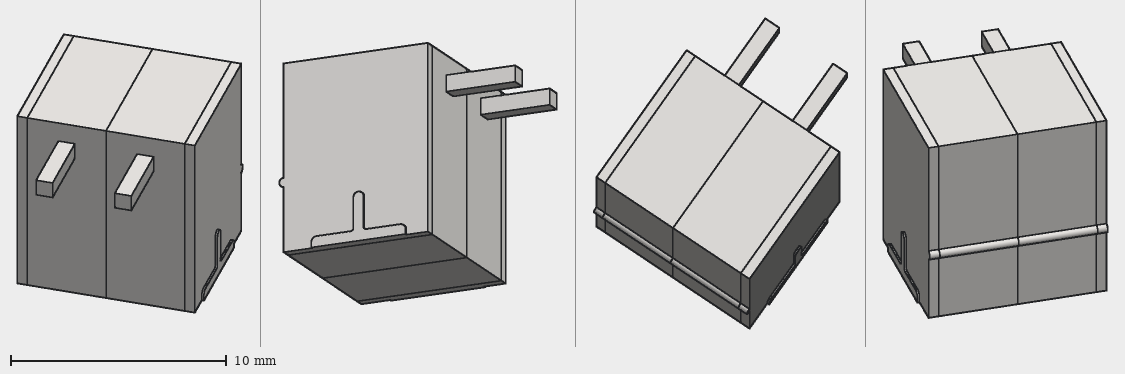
import cadquery as cq

POLE_COUNT = 2
POLE_PITCH = 3.81
BODY_DEPTH = 7.37
BODY_HEIGHT = 9.2
END_PLATE_THICKNESS = 0.49

BEAD_RADIUS = 0.22
BEAD_HEIGHT = 3.4

PIN_WIDTH = 0.8
PIN_LENGTH = 3.53
PIN_DROP = 1.39

RAIL_THICKNESS = 0.1
RAIL_CENTRE_Y = -3.87
FOOT_WIDTH = 4.8
FOOT_HEIGHT = 0.52
FOOT_CORNER_RADIUS = 0.27
STEM_WIDTH = 0.51
STEM_HEIGHT = 2.4
STEM_ROOT_RADIUS = 0.13

PIN_FACE_Y = -BODY_DEPTH
ROW_HALF_WIDTH = POLE_COUNT * POLE_PITCH / 2


def make_slab(left_x, width):
    """Slice of the block with its length of bead; the +Y face lies at Y = 0."""
    profile = (
        cq.Workplane("YZ")
        .workplane(offset=left_x)
        .moveTo(PIN_FACE_Y, 0)
        .lineTo(0, 0)
        .lineTo(0, BEAD_HEIGHT - BEAD_RADIUS)
        .threePointArc((BEAD_RADIUS, BEAD_HEIGHT), (0, BEAD_HEIGHT + BEAD_RADIUS))
        .lineTo(0, BODY_HEIGHT)
        .lineTo(PIN_FACE_Y, BODY_HEIGHT)
        .close()
    )
    return profile.extrude(width)


def make_pole(left_x):
    """Pole module with its solder pin standing out of the -Y face."""
    pin = cq.Workplane("XY").box(PIN_WIDTH, PIN_LENGTH, PIN_WIDTH).translate(
        (left_x + POLE_PITCH / 2, PIN_FACE_Y - PIN_LENGTH / 2, BODY_HEIGHT - PIN_DROP)
    )
    return make_slab(left_x, POLE_PITCH).union(pin)


def make_rail(inner_x):
    """T-shaped rail that grows in +X from the plane X = inner_x."""
    foot = (
        cq.Workplane("XY")
        .box(RAIL_THICKNESS, FOOT_WIDTH, FOOT_HEIGHT, centered=(False, True, False))
        .edges("|X and >Z")
        .fillet(FOOT_CORNER_RADIUS)
    )
    straight_height = STEM_HEIGHT - STEM_WIDTH / 2
    stem = cq.Workplane("XY").box(
        RAIL_THICKNESS, STEM_WIDTH, straight_height, centered=(False, True, False)
    )
    stem_end = (
        cq.Workplane("YZ")
        .center(0, straight_height)
        .circle(STEM_WIDTH / 2)
        .extrude(RAIL_THICKNESS)
    )
    root_corners = cq.selectors.BoxSelector(
        (-RAIL_THICKNESS, -STEM_WIDTH, FOOT_HEIGHT - STEM_ROOT_RADIUS),
        (2 * RAIL_THICKNESS, STEM_WIDTH, FOOT_HEIGHT + STEM_ROOT_RADIUS),
    )
    rail = foot.union(stem).edges("|X").edges(root_corners).fillet(STEM_ROOT_RADIUS).union(stem_end)
    return rail.translate((inner_x, RAIL_CENTRE_Y, 0))


def make_left_end_plate():
    """End plate at the -X end, with its rail on the outside."""
    outer_x = -ROW_HALF_WIDTH - END_PLATE_THICKNESS
    return make_slab(outer_x, END_PLATE_THICKNESS).union(make_rail(outer_x - RAIL_THICKNESS))


left_end_plate = make_left_end_plate()
right_end_plate = left_end_plate.mirror("YZ")
poles = [make_pole(-ROW_HALF_WIDTH + index * POLE_PITCH) for index in range(POLE_COUNT)]

result = cq.Compound.makeCompound(
    [left_end_plate.val(), right_end_plate.val(), *[pole.val() for pole in poles]]
)